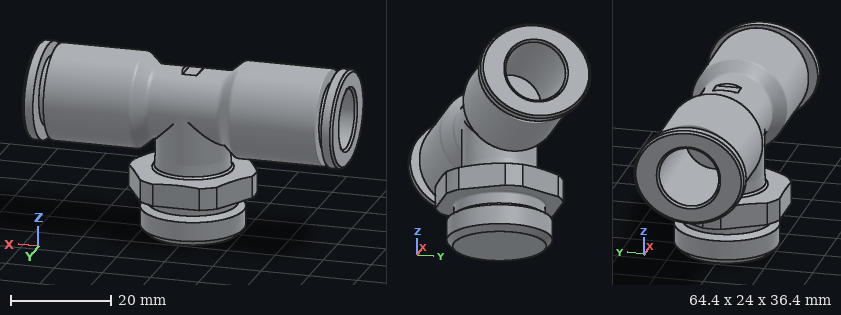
import cadquery as cq
import math

half_length = 32.2
flange_inner_x = 29.95
barrel_outer_x = 28.3
shoulder_outer_x = 10.25
shoulder_inner_x = 7.55

barrel_radius = 9.85
neck_radius = 7.55
collar_radius = 7.1
barrel_rim_fillet = 0.25
shoulder_inner_fillet = 1.1
shoulder_outer_fillet = 0.85

selection_margin = 0.05

flange_half_width = 11.3
flange_half_height = barrel_radius
flange_chamfer = 0.45

bore_radius = 6.1
bore_chamfer = 0.45
bore_floor_x = shoulder_outer_x

pocket_floor_z = 7.1
pocket_floor_half_length = 1.5

taper_top_z = -10.4
hex_top_z = -13.1
hex_bottom_z = -17.9
relief_bottom_z = -20.4
bottom_z = -26.5

branch_base_radius = 7.7
branch_flare = 0.45
relief_radius = 9.1
relief_fillet = 0.45
thread_radius = 10.55
thread_lead_in = 1.2
thread_shoulder_angle = 30.0

hex_across_flats = 24.0
hex_corner_radius = 12.95
hex_bevel_angle = 15.0


def rim_at(x, radius):
    """Selector for the circular edge of a turned body at one place along X."""
    reach = radius + selection_margin
    return cq.selectors.BoxSelector(
        (x - selection_margin, -reach, -reach),
        (x + selection_margin, reach, reach),
        boundingbox=True,
    )


def make_barrel():
    """Neck, shoulder and barrel on the +X side, turned about X, and the collar beyond."""
    profile = (
        cq.Workplane("XY")
        .lineTo(0, neck_radius)
        .lineTo(shoulder_inner_x, neck_radius)
        .lineTo(shoulder_outer_x, barrel_radius)
        .lineTo(barrel_outer_x, barrel_radius)
        .lineTo(barrel_outer_x, 0)
        .close()
    )
    barrel = profile.revolve(360, (0, 0, 0), (1, 0, 0))
    barrel = barrel.edges(rim_at(shoulder_inner_x, neck_radius)).fillet(shoulder_inner_fillet)
    barrel = barrel.edges(rim_at(shoulder_outer_x, barrel_radius)).fillet(shoulder_outer_fillet)
    barrel = barrel.edges(rim_at(barrel_outer_x, barrel_radius)).fillet(barrel_rim_fillet)
    collar = cq.Workplane("YZ").circle(collar_radius).extrude(flange_inner_x)
    return barrel.union(collar)


def make_flange():
    """Oval plate on the +X end with a bevelled outer edge."""
    plate = (
        cq.Workplane("YZ", origin=(flange_inner_x, 0, 0))
        .ellipse(flange_half_width, flange_half_height)
        .extrude(half_length - flange_inner_x)
    )
    return plate.faces(">X").edges().chamfer(flange_chamfer)


def make_socket():
    """Blind tube bore on the +X end, bevelled at the mouth."""
    profile = (
        cq.Workplane("XY")
        .moveTo(bore_floor_x, 0)
        .lineTo(bore_floor_x, bore_radius)
        .lineTo(half_length - bore_chamfer, bore_radius)
        .lineTo(half_length, bore_radius + bore_chamfer)
        .lineTo(half_length, 0)
        .close()
    )
    return profile.revolve(360, (0, 0, 0), (1, 0, 0))


def make_pocket():
    """Wedge-sided cutter for the flat on top of the neck."""
    depth = barrel_radius - pocket_floor_z
    return (
        cq.Workplane("XZ")
        .moveTo(-pocket_floor_half_length, pocket_floor_z)
        .lineTo(pocket_floor_half_length, pocket_floor_z)
        .lineTo(pocket_floor_half_length + depth, barrel_radius)
        .lineTo(-pocket_floor_half_length - depth, barrel_radius)
        .close()
        .extrude(neck_radius, both=True)
    )


def make_branch():
    """Turned stem, relief groove and threaded spigot, about Z."""
    shoulder_drop = (thread_radius - relief_radius) * math.tan(math.radians(thread_shoulder_angle))
    profile = (
        cq.Workplane("XZ")
        .lineTo(neck_radius, 0)
        .lineTo(neck_radius, taper_top_z)
        .lineTo(branch_base_radius, hex_top_z + branch_flare)
        .lineTo(branch_base_radius + branch_flare, hex_top_z)
        .lineTo(relief_radius + relief_fillet, hex_top_z)
        .lineTo(relief_radius + relief_fillet, hex_bottom_z)
        .radiusArc((relief_radius, hex_bottom_z - relief_fillet), -relief_fillet)
        .lineTo(relief_radius, relief_bottom_z)
        .lineTo(thread_radius, relief_bottom_z - shoulder_drop)
        .lineTo(thread_radius, bottom_z + thread_lead_in)
        .lineTo(thread_radius - thread_lead_in, bottom_z)
        .lineTo(0, bottom_z)
        .close()
    )
    return profile.revolve(360, (0, 0, 0), (0, 1, 0))


def make_hexagon():
    """Wrench hexagon, its corners turned round and bevelled on top."""
    prism = (
        cq.Workplane("XY", origin=(0, 0, hex_bottom_z))
        .polygon(6, hex_across_flats / math.cos(math.pi / 6))
        .extrude(hex_top_z - hex_bottom_z)
    )
    bevel_radius = hex_across_flats / 2
    bevel_drop = (hex_corner_radius - bevel_radius) * math.tan(math.radians(hex_bevel_angle))
    envelope = (
        cq.Workplane("XZ")
        .moveTo(0, hex_bottom_z)
        .lineTo(hex_corner_radius, hex_bottom_z)
        .lineTo(hex_corner_radius, hex_top_z - bevel_drop)
        .lineTo(bevel_radius, hex_top_z)
        .lineTo(0, hex_top_z)
        .close()
        .revolve(360, (0, 0, 0), (0, 1, 0))
    )
    return prism.intersect(envelope)


run_end = make_barrel().union(make_flange()).cut(make_socket())
run = run_end.union(run_end.mirror("YZ"))
tee = run.union(make_branch()).union(make_hexagon())
result = tee.cut(make_pocket())